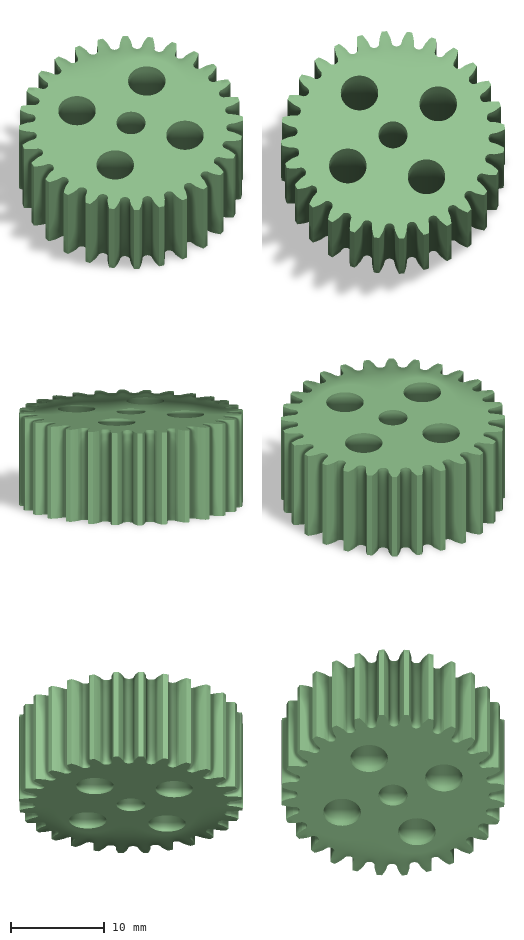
import cadquery as cq
import math

overall_width = 23.8
thickness = 10.0
tooth_count = 28
tooth_pitch = 360 / tooth_count

root_radius = 10.19
flank_start_radius = 10.5
flank_bend_radius = 11.05
flank_middle_radius = 11.52

space_half_angle_start = 2.7
space_half_angle_bend = 3.25
space_half_angle_middle = 4.15
space_half_angle_tip = 5.1

tip_radius = overall_width / 2 / math.cos(math.radians(space_half_angle_tip))

bore_diameter = 3.1
lightening_hole_diameter = 4.0
lightening_hole_count = 4
lightening_circle_radius = 6.0


def polar(radius, angle):
    """Point at a radius and an angle in degrees from +X."""
    radians = math.radians(angle)
    return (radius * math.cos(radians), radius * math.sin(radians))


def add_space_and_tooth(outline, space_angle):
    """Continue the outline counterclockwise through one tooth space and the tip that follows it."""
    next_tip_start = space_angle + tooth_pitch - space_half_angle_tip
    return (
        outline
        .threePointArc(
            polar(flank_middle_radius, space_angle - space_half_angle_middle),
            polar(flank_bend_radius, space_angle - space_half_angle_bend),
        )
        .lineTo(*polar(flank_start_radius, space_angle - space_half_angle_start))
        .threePointArc(
            polar(root_radius, space_angle),
            polar(flank_start_radius, space_angle + space_half_angle_start),
        )
        .lineTo(*polar(flank_bend_radius, space_angle + space_half_angle_bend))
        .threePointArc(
            polar(flank_middle_radius, space_angle + space_half_angle_middle),
            polar(tip_radius, space_angle + space_half_angle_tip),
        )
        .threePointArc(
            polar(tip_radius, space_angle + tooth_pitch / 2),
            polar(tip_radius, next_tip_start),
        )
    )


def gear_blank():
    outline = cq.Workplane("XY").moveTo(*polar(tip_radius, -space_half_angle_tip))
    for index in range(tooth_count):
        outline = add_space_and_tooth(outline, index * tooth_pitch)
    return outline.close().extrude(thickness)


def through_holes(gear):
    gear = gear.faces(">Z").workplane(origin=(0, 0, thickness)).hole(bore_diameter)
    return (
        gear.faces(">Z")
        .workplane(origin=(0, 0, thickness))
        .polarArray(lightening_circle_radius, 0, 360, lightening_hole_count)
        .hole(lightening_hole_diameter)
    )


result = through_holes(gear_blank())